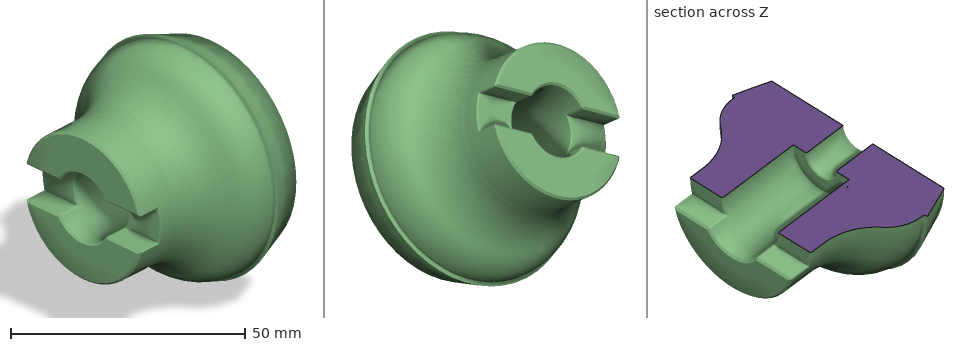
import cadquery as cq
import math

LENGTH = 40.0
RIM_RADIUS = 28.25
BODY_RADIUS = 27.4
NECK_RADIUS = 17.5
RIM_TAPER_ANGLE = 20.0

RIM_DEPTH = 9.0
RIM_EDGE_DROP = 0.3
SHOULDER_DEPTH = 10.0

SHOULDER_ARC_RADIUS = 10.0
FLARE_ARC_RADIUS = 15.05

BORE_RADIUS = 8.0
BORE_DEPTH = 28.25
THROUGH_HOLE_RADIUS = 4.25
SLOT_WIDTH = 8.5
SLOT_DEPTH = 5.75

LAND_CHAMFER = 0.5
INNER_CHAMFER = 0.3

FRONT_Y = -LENGTH / 2
BACK_Y = LENGTH / 2
SLOT_FLOOR_Y = FRONT_Y + SLOT_DEPTH
BORE_FLOOR_Y = FRONT_Y + BORE_DEPTH


def revolved_body():
    """Knob outline: tapered rim, shoulder and flare arcs, cylindrical neck."""
    rim_y = BACK_Y - RIM_DEPTH
    back_radius = RIM_RADIUS - RIM_DEPTH * math.tan(math.radians(RIM_TAPER_ANGLE))
    arc_radii = SHOULDER_ARC_RADIUS + FLARE_ARC_RADIUS
    arc_angle = math.acos(1 - (BODY_RADIUS - NECK_RADIUS) / arc_radii)

    def on_shoulder(angle):
        return (
            BODY_RADIUS - SHOULDER_ARC_RADIUS * (1 - math.cos(angle)),
            BACK_Y - SHOULDER_DEPTH - SHOULDER_ARC_RADIUS * math.sin(angle),
        )

    neck_y = BACK_Y - SHOULDER_DEPTH - arc_radii * math.sin(arc_angle)

    def on_flare(angle):
        return (
            NECK_RADIUS + FLARE_ARC_RADIUS * (1 - math.cos(angle)),
            neck_y + FLARE_ARC_RADIUS * math.sin(angle),
        )

    outline = (
        cq.Workplane("XY")
        .moveTo(0, BACK_Y)
        .lineTo(back_radius, BACK_Y)
        .lineTo(RIM_RADIUS, rim_y)
        .lineTo(BODY_RADIUS, rim_y - RIM_EDGE_DROP)
        .lineTo(*on_shoulder(0))
        .threePointArc(on_shoulder(arc_angle / 2), on_shoulder(arc_angle))
        .threePointArc(on_flare(arc_angle / 2), on_flare(0))
        .lineTo(NECK_RADIUS, FRONT_Y)
        .lineTo(0, FRONT_Y)
        .close()
    )
    return outline.revolve(360, (0, 0, 0), (0, 1, 0))


def front_cylinder(radius, depth):
    """Cylinder running from the slotted end into the part."""
    return cq.Workplane("XZ", origin=(0, FRONT_Y, 0)).circle(radius).extrude(-depth)


def drive_slot():
    """Slot across the end face, running along X."""
    slot = cq.Workplane("XY").box(2 * RIM_RADIUS, 2 * SLOT_DEPTH, SLOT_WIDTH)
    return slot.translate((0, FRONT_Y, 0))


def chamfer_slot_edges(part):
    """Chamfer the curved edges of the slot floor and the ends of the slot walls."""
    around_floor = cq.selectors.BoxSelector(
        (-RIM_RADIUS, SLOT_FLOOR_Y - INNER_CHAMFER, -SLOT_WIDTH / 2),
        (RIM_RADIUS, SLOT_FLOOR_Y + INNER_CHAMFER, SLOT_WIDTH / 2),
    )
    around_wall_ends = cq.selectors.BoxSelector(
        (-RIM_RADIUS, FRONT_Y + SLOT_DEPTH / 4, -SLOT_WIDTH),
        (RIM_RADIUS, SLOT_FLOOR_Y - SLOT_DEPTH / 4, SLOT_WIDTH),
    )
    floor_arcs = part.edges(around_floor).edges("%CIRCLE")
    wall_ends = part.edges(around_wall_ends)
    return floor_arcs.add(wall_ends).chamfer(INNER_CHAMFER)


def chamfer_hole_mouth(part):
    """Chamfer the through hole where it opens into the bore floor."""
    at_bore_floor = cq.selectors.NearestToPointSelector((0, BORE_FLOOR_Y, 0))
    smallest_radius = cq.selectors.RadiusNthSelector(0)
    return part.faces(at_bore_floor).edges("%CIRCLE").edges(smallest_radius).chamfer(INNER_CHAMFER)


body = revolved_body()
body = body.cut(front_cylinder(BORE_RADIUS, BORE_DEPTH))
body = body.cut(front_cylinder(THROUGH_HOLE_RADIUS, LENGTH))
body = body.cut(drive_slot())
body = body.faces("<Y").chamfer(LAND_CHAMFER)
body = chamfer_slot_edges(body)
result = chamfer_hole_mouth(body)